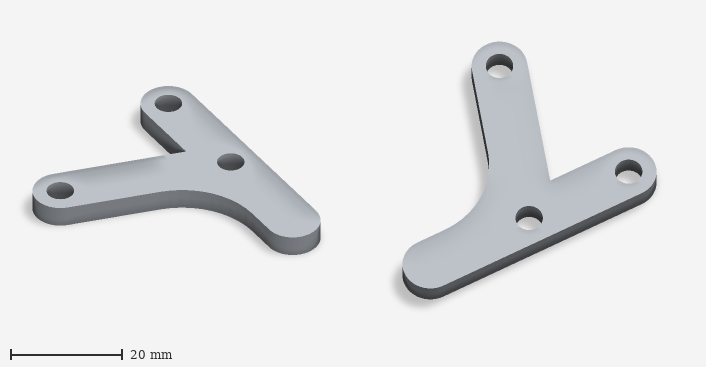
import cadquery as cq
import math

length = 50.2
thickness = 4.0
arm_width = 10.0
hole_diameter = 4.9
hole_spacing = 20.2
leg_run = 10.0
leg_drop = 30.0
corner_radius = 15.0

end_hole = (0, 0)
middle_hole = (hole_spacing, 0)
leg_hole = (hole_spacing - leg_run, -leg_drop)


def rounded_arm(start, direction_degrees, centre_distance):
    """Straight arm with full-round ends, centred on start and on the far end point."""
    angle = math.radians(direction_degrees)
    middle_x = start[0] + centre_distance / 2 * math.cos(angle)
    middle_y = start[1] + centre_distance / 2 * math.sin(angle)
    return (
        cq.Workplane("XY")
        .center(middle_x, middle_y)
        .slot2D(centre_distance + arm_width, arm_width, direction_degrees)
        .extrude(thickness)
    )


bar = rounded_arm(end_hole, 0, length - arm_width)
leg_length = math.hypot(leg_run, leg_drop)
leg_angle = math.degrees(math.atan2(-leg_drop, -leg_run))
leg = rounded_arm(middle_hole, leg_angle, leg_length)
plate = bar.union(leg)

half_width = arm_width / 2
corner_x = hole_spacing + half_width * (leg_length - leg_run) / leg_drop
corner_point = (corner_x, -half_width, thickness / 2)
plate = plate.edges(cq.selectors.NearestToPointSelector(corner_point)).fillet(corner_radius)

result = (
    plate.faces(">Z")
    .workplane(origin=(0, 0, thickness))
    .pushPoints([end_hole, middle_hole, leg_hole])
    .hole(hole_diameter)
)